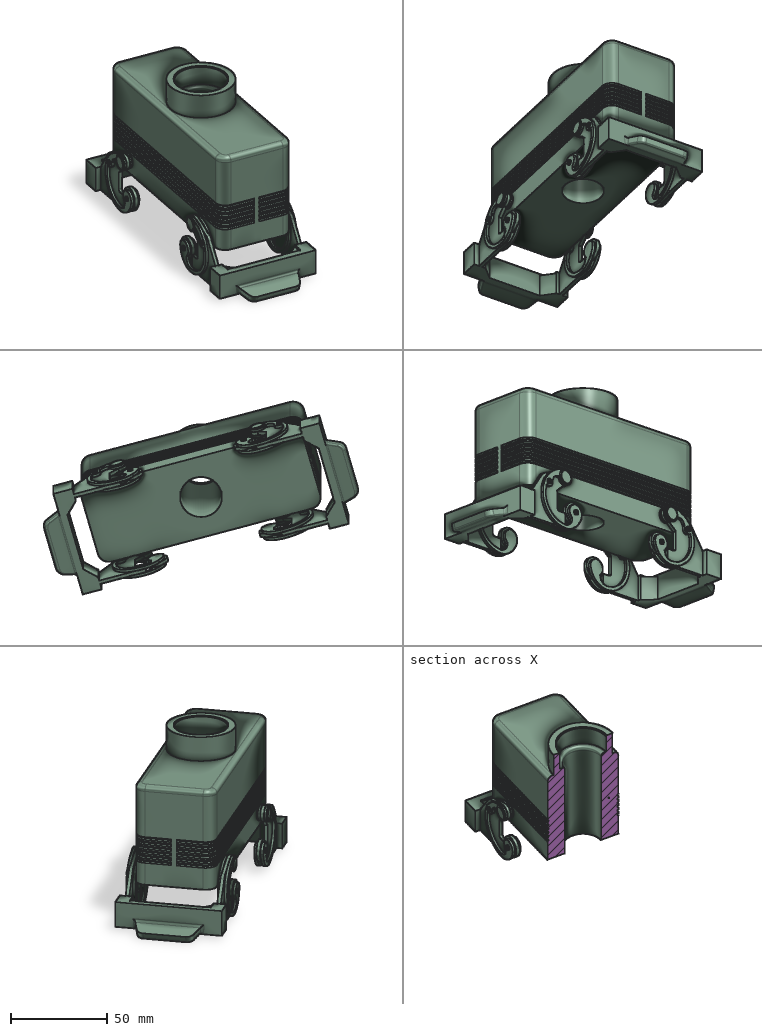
import cadquery as cq
import math


HOOD_LENGTH = 120.0
HOOD_WIDTH = 43.0
HOOD_HEIGHT = 55.0
HOOD_CORNER_RADIUS = 6.0
HOOD_TOP_RADIUS = 3.0

GROOVE_COUNT = 6
GROOVE_LOWEST_Z = 12.95
GROOVE_PITCH = 2.56
GROOVE_HEIGHT = 1.6
GROOVE_DEPTH = 0.6
GROOVE_END_GAP = 3.0

COLLAR_RADIUS = 18.0
COLLAR_TOP_Z = 68.25
BORE_RADIUS = 13.8
BORE_RIM_CHAMFER = 0.5
BORE_DEPTH = 10.7
SEAT_ROUND_RADIUS = 2.0
PASSAGE_RADIUS = 10.9

CHEEK_INNER_Y = 22.0
CHEEK_THICKNESS = 1.5
CORE_THICKNESS = 2.0
CORE_INNER_Y = CHEEK_INNER_Y + CHEEK_THICKNESS
CORE_OUTER_Y = CORE_INNER_Y + CORE_THICKNESS
CHEEK_OUTER_Y = CORE_OUTER_Y + CHEEK_THICKNESS
PIN_PROTRUSION = 0.5
PIN_END_Y = CHEEK_OUTER_Y + PIN_PROTRUSION

HOOK_X = -37.8
HOOK_Z = -4.6
BAND_OUTER_RADIUS = 16.25
BAND_INNER_RADIUS = 14.25
LINK_INNER_RADIUS = 12.4
RELIEF_X = -43.1
RELIEF_Z = 2.95
RELIEF_RADIUS = 3.9
RIVET_ANGLE = 150.5
RIVET_ORBIT = 13.75
RIVET_BOSS_RADIUS = 2.7
TAIL_INNER_RADIUS = 4.75

PIVOT_OFFSET_Z = 12.25
PIVOT_X = HOOK_X
PIVOT_Z = HOOK_Z + PIVOT_OFFSET_Z
PIVOT_RADIUS = 4.3
PIVOT_CHAMFER_RADIAL = 0.8
PIVOT_CHAMFER_AXIAL = 0.5
PIVOT_HEAD_THICKNESS = 0.7
CHEEK_EYE_RADIUS = 4.0
AXLE_RADIUS = 3.5
AXLE_EMBED = 2.0

ROLLER_X = -30.6
ROLLER_Z = -10.15
ROLLER_RADIUS = 5.8
ROLLER_CHEEK_RADIUS = 4.35
EYE_END_ANGLE = 205.0

RIVET_RADIUS = 1.35
RIVET_HOLE_RADIUS = 0.6

YOKE_WIDTH = 57.0
YOKE_OUTER_X = -71.8
YOKE_LEG_END_X = -61.5
YOKE_BAR_THICKNESS = 4.0
YOKE_LEG_INNER_Y = 21.6
YOKE_TOP_Z = -6.4
YOKE_BOTTOM_Z = -20.2
GUSSET_DROP = 1.0

CORE_SHOULDER_START = (-53.8, 4.75)
CORE_SHOULDER_MIDDLE = (-52.95, 5.9)
CORE_SHOULDER_END = (-51.75, 6.75)
CORE_BROW_RADIUS = 4.2
CORE_BROW_ANGLE = 115.0
THROAT_X = -42.3
THROAT_TOP_Z = -0.6
THROAT_FLOOR_Z = -11.8
THROAT_RADIUS = 1.5
CORE_END_X = -36.6
CORE_NECK_ANGLE = -50.0

GRIP_TILT = 16.0
GRIP_TOP_Z = -15.84
GRIP_THICKNESS = 4.0
GRIP_LENGTH = 10.2
GRIP_ROOT_HALF_WIDTH = 17.8
GRIP_TIP_HALF_WIDTH = 14.3
GRIP_CORNER_RADIUS = 4.0
GRIP_LOWER_EDGE_RADIUS = 1.0
GRIP_ROOT_RADIUS = 1.5
GRIP_EMBED = 2.0


def polar(center_x, center_z, radius, degrees):
    """Point on a circle in the XZ plane."""
    angle = math.radians(degrees)
    return (center_x + radius * math.cos(angle), center_z + radius * math.sin(angle))


def plate(outline, y_start, y_end):
    """Extrude a closed XZ outline from y_start to y_end."""
    return outline.extrude(-(y_end - y_start)).translate((0, y_start, 0))


def disc(x, z, radius, y_start, y_end):
    """Cylinder along Y."""
    return plate(cq.Workplane("XZ").center(x, z).circle(radius), y_start, y_end)


def hood_outline(z):
    """Rounded rectangle of the hood at height z."""
    footprint = cq.Sketch().rect(HOOD_LENGTH, HOOD_WIDTH).vertices().fillet(HOOD_CORNER_RADIUS)
    return cq.Workplane("XY").workplane(offset=z).placeSketch(footprint)


def make_groove(z):
    """Ring-shaped V cutter around the hood, interrupted at both ends."""
    half = GROOVE_HEIGHT / 2
    taper = math.degrees(math.atan(GROOVE_DEPTH / half))
    slab = hood_outline(z - half).extrude(GROOVE_HEIGHT)
    lower_core = hood_outline(z - half).extrude(half, taper=taper)
    upper_core = hood_outline(z + half).extrude(-half, taper=taper)
    gap = cq.Workplane("XY").box(HOOD_LENGTH, GROOVE_END_GAP, GROOVE_HEIGHT).translate((0, 0, z))
    return slab.cut(lower_core).cut(upper_core).cut(gap)


def make_hood():
    """Rounded hood with its grooves and the cable collar."""
    hood = hood_outline(0).extrude(HOOD_HEIGHT).faces(">Z").edges().fillet(HOOD_TOP_RADIUS)
    for index in range(GROOVE_COUNT):
        hood = hood.cut(make_groove(GROOVE_LOWEST_Z + index * GROOVE_PITCH))
    collar_height = COLLAR_TOP_Z - HOOD_HEIGHT + HOOD_TOP_RADIUS
    collar = cq.Workplane("XY").circle(COLLAR_RADIUS).extrude(collar_height)
    return hood.union(collar.translate((0, 0, COLLAR_TOP_Z - collar_height)))


def make_cable_passage():
    """Stepped through bore: chamfered rim, wide bore, rounded seat, passage."""
    seat_z = COLLAR_TOP_Z - BORE_DEPTH
    round_x = PASSAGE_RADIUS + SEAT_ROUND_RADIUS
    round_z = seat_z - SEAT_ROUND_RADIUS
    profile = (
        cq.Workplane("XZ")
        .lineTo(PASSAGE_RADIUS, 0)
        .lineTo(PASSAGE_RADIUS, round_z)
        .threePointArc(polar(round_x, round_z, SEAT_ROUND_RADIUS, 135), (round_x, seat_z))
        .lineTo(BORE_RADIUS, seat_z)
        .lineTo(BORE_RADIUS, COLLAR_TOP_Z - BORE_RIM_CHAMFER)
        .lineTo(BORE_RADIUS + BORE_RIM_CHAMFER, COLLAR_TOP_Z)
        .lineTo(0, COLLAR_TOP_Z)
        .close()
    )
    return profile.revolve(360, (0, 0, 0), (0, 1, 0))


def hook_band(inner_radius, start_angle, end_angle):
    """Outline of a ring sector about the hook centre."""
    middle = (start_angle + end_angle) / 2

    def at(radius, degrees):
        return polar(HOOK_X, HOOK_Z, radius, degrees)

    return (
        cq.Workplane("XZ")
        .moveTo(*at(BAND_OUTER_RADIUS, start_angle))
        .threePointArc(at(BAND_OUTER_RADIUS, middle), at(BAND_OUTER_RADIUS, end_angle))
        .lineTo(*at(inner_radius, end_angle))
        .threePointArc(at(inner_radius, middle), at(inner_radius, start_angle))
        .close()
    )


def hook_tail():
    """Outline of the tail and roller eye; the outer arc is tangent to the band and the eye."""
    bottom_z = HOOK_Z - BAND_OUTER_RADIUS
    inner_bottom_z = HOOK_Z - BAND_INNER_RADIUS
    reach = ROLLER_X - HOOK_X
    rise = ROLLER_Z - bottom_z
    radius = (reach**2 + rise**2 - ROLLER_CHEEK_RADIUS**2) / (2 * (rise - ROLLER_CHEEK_RADIUS))
    center_z = bottom_z + radius
    end_angle = math.degrees(math.atan2(ROLLER_Z - center_z, reach))
    inner_center_z = inner_bottom_z + TAIL_INNER_RADIUS
    return (
        cq.Workplane("XZ")
        .moveTo(HOOK_X, bottom_z)
        .threePointArc(
            polar(HOOK_X, center_z, radius, (end_angle - 90) / 2),
            polar(HOOK_X, center_z, radius, end_angle),
        )
        .threePointArc(
            polar(ROLLER_X, ROLLER_Z, ROLLER_CHEEK_RADIUS, 90),
            polar(ROLLER_X, ROLLER_Z, ROLLER_CHEEK_RADIUS, EYE_END_ANGLE),
        )
        .lineTo(HOOK_X + TAIL_INNER_RADIUS, inner_center_z)
        .threePointArc(
            polar(HOOK_X, inner_center_z, TAIL_INNER_RADIUS, -45),
            (HOOK_X, inner_bottom_z),
        )
        .close()
    )


RIVET_X, RIVET_Z = polar(HOOK_X, HOOK_Z, RIVET_ORBIT, RIVET_ANGLE)


def make_cheek(y_start, y_end):
    """Hook-shaped plate on one side of the core plate."""
    cheek = plate(hook_band(BAND_INNER_RADIUS, RIVET_ANGLE, 270), y_start, y_end)
    cheek = cheek.union(plate(hook_band(LINK_INNER_RADIUS, 90, RIVET_ANGLE), y_start, y_end))
    cheek = cheek.union(plate(hook_tail(), y_start, y_end))
    cheek = cheek.union(disc(RIVET_X, RIVET_Z, RIVET_BOSS_RADIUS, y_start, y_end))
    return cheek.cut(disc(RELIEF_X, RELIEF_Z, RELIEF_RADIUS, y_start, y_end))


def make_core():
    """Plate carrying the hook, running from the yoke leg to the pivot."""
    outline = (
        cq.Workplane("XZ")
        .moveTo(YOKE_LEG_END_X, YOKE_BOTTOM_Z)
        .lineTo(CORE_END_X, YOKE_BOTTOM_Z)
        .lineTo(CORE_END_X, THROAT_FLOOR_Z)
        .lineTo(THROAT_X + THROAT_RADIUS, THROAT_FLOOR_Z)
        .radiusArc((THROAT_X, THROAT_FLOOR_Z + THROAT_RADIUS), THROAT_RADIUS)
        .lineTo(THROAT_X, THROAT_TOP_Z)
        .lineTo(*polar(PIVOT_X, PIVOT_Z, AXLE_RADIUS, CORE_NECK_ANGLE))
        .lineTo(PIVOT_X, PIVOT_Z)
        .lineTo(*polar(PIVOT_X, PIVOT_Z, CORE_BROW_RADIUS, CORE_BROW_ANGLE))
        .lineTo(*CORE_SHOULDER_END)
        .threePointArc(CORE_SHOULDER_MIDDLE, CORE_SHOULDER_START)
        .lineTo(YOKE_LEG_END_X, YOKE_TOP_Z)
        .close()
    )
    return plate(outline, CORE_INNER_Y, CORE_OUTER_Y)


def make_pivot():
    """Pivot eyes and chamfered pin head, with an axle that enters the hood wall."""
    head = disc(PIVOT_X, PIVOT_Z, PIVOT_RADIUS, PIN_END_Y - PIVOT_HEAD_THICKNESS, PIN_END_Y)
    head = head.faces(">Y").chamfer(PIVOT_CHAMFER_AXIAL, PIVOT_CHAMFER_RADIAL)
    core_eye = disc(PIVOT_X, PIVOT_Z, PIVOT_RADIUS, CORE_INNER_Y, CORE_OUTER_Y)
    cheek_eyes = disc(PIVOT_X, PIVOT_Z, CHEEK_EYE_RADIUS, CHEEK_INNER_Y, CHEEK_OUTER_Y)
    axle = disc(PIVOT_X, PIVOT_Z, AXLE_RADIUS, HOOD_WIDTH / 2 - AXLE_EMBED, CORE_INNER_Y)
    return cheek_eyes.union(core_eye).union(head).union(axle)


def make_arm():
    """One arm of a lever, on the +Y side."""
    arm = make_core()
    arm = arm.union(make_cheek(CHEEK_INNER_Y, CORE_INNER_Y))
    arm = arm.union(make_cheek(CORE_OUTER_Y, CHEEK_OUTER_Y))
    arm = arm.union(disc(ROLLER_X, ROLLER_Z, ROLLER_RADIUS, CORE_INNER_Y, CORE_OUTER_Y))
    arm = arm.union(make_pivot())
    for x, z in ((RIVET_X, RIVET_Z), (ROLLER_X, ROLLER_Z)):
        arm = arm.union(disc(x, z, RIVET_RADIUS, CHEEK_INNER_Y, PIN_END_Y))
        arm = arm.cut(disc(x, z, RIVET_HOLE_RADIUS, CHEEK_OUTER_Y, PIN_END_Y))
    return arm


def make_grip():
    """Tapered finger grip, tilted down and away from the yoke."""
    slope = (GRIP_ROOT_HALF_WIDTH - GRIP_TIP_HALF_WIDTH) / GRIP_LENGTH
    embedded_half_width = GRIP_ROOT_HALF_WIDTH + slope * GRIP_EMBED
    outline = [
        (GRIP_EMBED, embedded_half_width),
        (-GRIP_LENGTH, GRIP_TIP_HALF_WIDTH),
        (-GRIP_LENGTH, -GRIP_TIP_HALF_WIDTH),
        (GRIP_EMBED, -embedded_half_width),
    ]
    grip = cq.Workplane("XY").polyline(outline).close().extrude(-GRIP_THICKNESS)
    grip = grip.edges("<X and |Z").fillet(GRIP_CORNER_RADIUS)
    grip = grip.faces("<Z").edges("not >X").fillet(GRIP_LOWER_EDGE_RADIUS)
    grip = grip.rotate((0, 0, 0), (0, 1, 0), -GRIP_TILT)
    return grip.translate((YOKE_OUTER_X, 0, GRIP_TOP_Z))


def make_yoke():
    """U-shaped bar with corner gussets and the finger grip."""
    height = YOKE_TOP_Z - YOKE_BOTTOM_Z
    bar_inner_x = YOKE_OUTER_X + YOKE_BAR_THICKNESS
    half_width = YOKE_WIDTH / 2
    base = cq.Workplane("XY").workplane(offset=YOKE_BOTTOM_Z)
    yoke = (
        base.moveTo(YOKE_OUTER_X, -half_width)
        .lineTo(YOKE_LEG_END_X, -half_width)
        .lineTo(YOKE_LEG_END_X, -YOKE_LEG_INNER_Y)
        .lineTo(bar_inner_x, -YOKE_LEG_INNER_Y)
        .lineTo(bar_inner_x, YOKE_LEG_INNER_Y)
        .lineTo(YOKE_LEG_END_X, YOKE_LEG_INNER_Y)
        .lineTo(YOKE_LEG_END_X, half_width)
        .lineTo(YOKE_OUTER_X, half_width)
        .close()
        .extrude(height)
    )
    yoke = yoke.union(make_grip())
    yoke = yoke.edges(cq.selectors.BoxSelector(
        (YOKE_OUTER_X - 0.1, -half_width + 1, YOKE_BOTTOM_Z + 0.5),
        (YOKE_OUTER_X + 0.1, half_width - 1, YOKE_TOP_Z - 1),
    )).fillet(GRIP_ROOT_RADIUS)
    gusset_leg = YOKE_LEG_END_X - bar_inner_x
    for side in (-1, 1):
        corner_y = side * YOKE_LEG_INNER_Y
        gusset = (
            base.moveTo(bar_inner_x, corner_y)
            .lineTo(YOKE_LEG_END_X, corner_y)
            .lineTo(bar_inner_x, corner_y - side * gusset_leg)
            .close()
            .extrude(height - GUSSET_DROP)
        )
        yoke = yoke.union(gusset)
    return yoke


def make_lever():
    """Locking lever on the -X side."""
    arm = make_arm()
    return make_yoke().union(arm).union(arm.mirror("XZ"))


lever = make_lever()
result = make_hood().union(lever).union(lever.mirror("YZ")).cut(make_cable_passage())